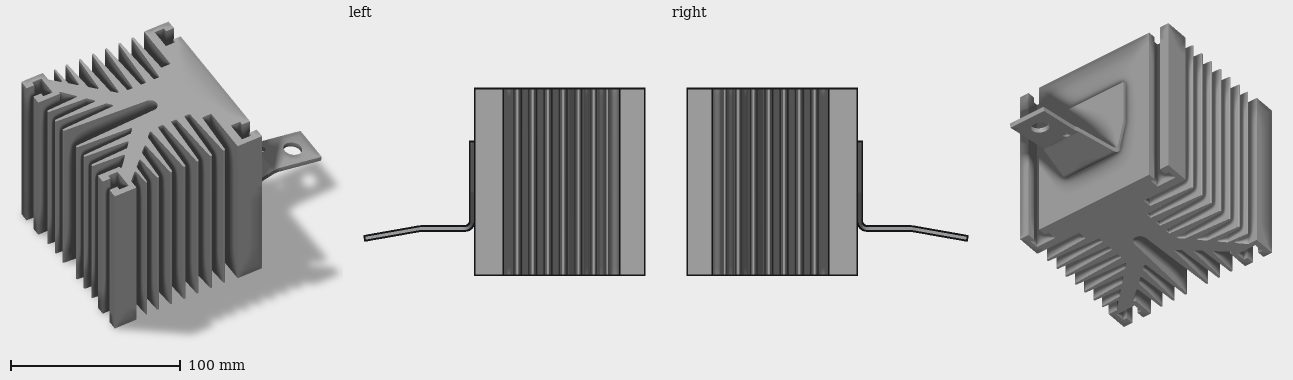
import cadquery as cq
import math

SINK_WIDTH = 110.0
SINK_DEPTH = 100.1
SINK_HEIGHT = 110.0
HALF_WIDTH = SINK_WIDTH / 2

FLANGE_THICKNESS = 16.7
FOOT_DEPTH = 14.7
FOOT_INNER_X = 35.0
T_SLOT_WALL = 3.6
T_SLOT_WIDTH = 13.2
T_SLOT_MOUTH = 8.0
T_SLOT_LIP = 5.3
T_SLOT_DEPTH = 11.5
T_SLOT_X = HALF_WIDTH - T_SLOT_WALL - T_SLOT_WIDTH / 2

NECK_HALF_WIDTH = 24.0
CORE_HALF_WIDTH = 17.7
ARM_BACK_SUM = 63.5
ARM_FRONT_X = 36.2
ARM_FRONT_Y = 15.7
ARM_FRONT_SLOPE = 0.86

FIN_DRAFT = 3.0
FIN_TIP_HALF = 0.75
FIN_ROOT_OVERLAP = 3.0
SIDE_FIN_TIP_X = 54.2
SIDE_FIN_FIRST_Y = 75.0
SIDE_FIN_LAST_Y = 30.0
SIDE_FIN_COUNT = 6
FIN_PITCH = (SIDE_FIN_FIRST_Y - SIDE_FIN_LAST_Y) / (SIDE_FIN_COUNT - 1)
THIN_FIN_Y = 22.1
THIN_FIN_TIP_HALF = 0.5
FRONT_FIN_TIP_Y = 1.0
FRONT_FIN_FIRST_X = 8.0
FRONT_FIN_COUNT = 3
ROOT_FILLET = 0.7

SLOT_END_Y = 60.1

STRIP_THICKNESS = 3.0
PLATE_WIDTH = 48.0
PLATE_TOP_Z = 78.8
TAPER_START_Z = 48.9
BEND_START_Z = 32.0
BEND_RADIUS = 3.0
BEND_START_WIDTH = 40.1
BEND_END_WIDTH = 37.2
TILT_START_Y = 131.7
TILT_START_WIDTH = 26.6
TILT_ANGLE = 10.0
TAPER_END_Y = 135.5
TAB_WIDTH = 25.0
TAB_END_Y = 165.2
BIG_HOLE_DIAMETER = 11.0
BIG_HOLE_Y = 152.5
SMALL_HOLE_DIAMETER = 4.5
SMALL_HOLE_X = -6.1
SMALL_HOLE_Y = 135.0


def box(x_min, x_max, y_min, y_max):
    """Full-height block over a rectangle in X and Y."""
    size = (x_max - x_min, y_max - y_min, SINK_HEIGHT)
    return cq.Workplane("XY").box(*size, centered=False).translate((x_min, y_min, 0))


def with_mirror(half):
    """A right-hand shape joined to its mirror image across X = 0."""
    return half.union(half.mirror("YZ"))


def t_slot(face_y, inward):
    """T-slot opening at face_y; inward is the Y direction (+1 or -1) into the metal."""
    lip_y = face_y + inward * T_SLOT_LIP
    bottom_y = face_y + inward * T_SLOT_DEPTH
    mouth = box(T_SLOT_X - T_SLOT_MOUTH / 2, T_SLOT_X + T_SLOT_MOUTH / 2, *sorted((face_y, bottom_y)))
    head = box(T_SLOT_X - T_SLOT_WIDTH / 2, T_SLOT_X + T_SLOT_WIDTH / 2, *sorted((lip_y, bottom_y)))
    return mouth.union(head)


def fin(length, tip_half):
    """Round-tipped fin along +X whose tip touches the origin and whose root is at X = -length."""
    shoulder_x = -tip_half
    root_half = tip_half + (length - tip_half) * math.tan(math.radians(FIN_DRAFT))
    return (
        cq.Workplane("XY")
        .moveTo(-length, -root_half)
        .lineTo(shoulder_x, -tip_half)
        .threePointArc((0, 0), (shoulder_x, tip_half))
        .lineTo(-length, root_half)
        .close()
        .extrude(SINK_HEIGHT)
    )


def side_fin(y, tip_half):
    """Fin toward +X, rooted in the core or, farther forward, in the arm."""
    root_x = max(CORE_HALF_WIDTH, ARM_BACK_SUM - y) - FIN_ROOT_OVERLAP
    return fin(SIDE_FIN_TIP_X - root_x, tip_half).translate((SIDE_FIN_TIP_X, y, 0))


def arm_front_y(x):
    """Y of the front side of an arm at a given X."""
    return ARM_FRONT_Y + (ARM_FRONT_X - x) * ARM_FRONT_SLOPE


def front_fin(x):
    """Fin toward -Y, rooted in the arm."""
    root_y = arm_front_y(x) + FIN_ROOT_OVERLAP
    forward_fin = fin(root_y - FRONT_FIN_TIP_Y, FIN_TIP_HALF).rotate((0, 0, 0), (0, 0, 1), -90)
    return forward_fin.translate((x, FRONT_FIN_TIP_Y, 0))


def core_and_arm():
    """Right half of the core with its neck, and the arm down to the foot."""
    outline = [
        (0, SINK_DEPTH - FLANGE_THICKNESS),
        (NECK_HALF_WIDTH, SINK_DEPTH - FLANGE_THICKNESS),
        (NECK_HALF_WIDTH, SIDE_FIN_FIRST_Y),
        (CORE_HALF_WIDTH, SIDE_FIN_FIRST_Y),
        (CORE_HALF_WIDTH, ARM_BACK_SUM - CORE_HALF_WIDTH),
        (ARM_BACK_SUM - FOOT_DEPTH, FOOT_DEPTH),
        (ARM_FRONT_X, FOOT_DEPTH),
        (ARM_FRONT_X, ARM_FRONT_Y),
        (0, arm_front_y(0)),
    ]
    return cq.Workplane("XY").polyline(outline).close().extrude(SINK_HEIGHT)


def middle_slot():
    """Slot that widens toward the front, in line with the innermost fins, with a round end."""
    draft = math.radians(FIN_DRAFT)
    shoulder_y = FRONT_FIN_TIP_Y + FIN_TIP_HALF
    shoulder_x = FRONT_FIN_FIRST_X - FIN_TIP_HALF
    reach = SLOT_END_Y - shoulder_y
    radius = (shoulder_x * math.cos(draft) - reach * math.sin(draft)) / (1 - math.sin(draft))
    centre_y = SLOT_END_Y - radius
    touch_x = radius * math.cos(draft)
    touch_y = centre_y + radius * math.sin(draft)
    return (
        cq.Workplane("XY")
        .moveTo(-shoulder_x, shoulder_y)
        .lineTo(-touch_x, touch_y)
        .threePointArc((0, SLOT_END_Y), (touch_x, touch_y))
        .lineTo(shoulder_x, shoulder_y)
        .close()
        .extrude(SINK_HEIGHT)
    )


def make_heat_sink():
    flange = box(0, HALF_WIDTH, SINK_DEPTH - FLANGE_THICKNESS, SINK_DEPTH)
    flange = flange.cut(t_slot(SINK_DEPTH, -1))
    foot = box(FOOT_INNER_X, HALF_WIDTH, 0, FOOT_DEPTH).cut(t_slot(0, 1))
    half = core_and_arm().union(flange).union(foot)
    for i in range(SIDE_FIN_COUNT):
        half = half.union(side_fin(SIDE_FIN_FIRST_Y - i * FIN_PITCH, FIN_TIP_HALF))
    half = half.union(side_fin(THIN_FIN_Y, THIN_FIN_TIP_HALF))
    for i in range(FRONT_FIN_COUNT):
        half = half.union(front_fin(FRONT_FIN_FIRST_X + i * FIN_PITCH))
    fin_roots = cq.selectors.BoxSelector(
        (FRONT_FIN_FIRST_X, ARM_FRONT_Y + ROOT_FILLET, 0),
        (ARM_BACK_SUM - FOOT_DEPTH, SINK_DEPTH - FLANGE_THICKNESS - ROOT_FILLET, SINK_HEIGHT),
    )
    half = half.edges("|Z").edges(fin_roots).fillet(ROOT_FILLET)
    return with_mirror(half).cut(middle_slot())


class StripPoint:
    """Place along the middle of the strip; heading is 0 degrees down and 90 degrees toward +Y."""

    def __init__(self, y, z, heading, width):
        self.y = y
        self.z = z
        self.heading = math.radians(heading)
        self.width = width

    def position(self):
        return cq.Vector(0, self.y, self.z)

    def direction(self):
        return cq.Vector(0, math.sin(self.heading), -math.cos(self.heading))

    def section(self):
        plane = cq.Plane(self.position(), xDir=(1, 0, 0), normal=self.direction())
        return cq.Workplane(plane).rect(self.width, STRIP_THICKNESS).wires().val()


def strip_piece(start, end):
    """Straight or bent stretch of strip between two points, changing evenly in width."""
    if start.heading == end.heading:
        path = cq.Edge.makeLine(start.position(), end.position())
    else:
        path = cq.Edge.makeTangentArc(start.position(), start.direction(), end.position())
    return cq.Workplane(cq.Solid.sweep_multi([start.section(), end.section()], path))


def make_terminal():
    half_thickness = STRIP_THICKNESS / 2
    tilt = math.radians(TILT_ANGLE)
    tab_heading = 90 - TILT_ANGLE

    plate_y = SINK_DEPTH + half_thickness
    bend_middle = BEND_RADIUS + half_thickness
    arm_z = BEND_START_Z - bend_middle
    tab_start_y = TILT_START_Y + bend_middle * math.sin(tilt)
    tab_start_z = arm_z - bend_middle * (1 - math.cos(tilt))
    taper_left = (TAPER_END_Y - tab_start_y) / (TAPER_END_Y - TILT_START_Y)
    tab_start_width = TAB_WIDTH + (TILT_START_WIDTH - TAB_WIDTH) * taper_left
    tab_end_y = TAB_END_Y - half_thickness * math.sin(tilt)

    def tab_z(y):
        return tab_start_z - (y - tab_start_y) * math.tan(tilt)

    points = [
        StripPoint(plate_y, PLATE_TOP_Z, 0, PLATE_WIDTH),
        StripPoint(plate_y, TAPER_START_Z, 0, PLATE_WIDTH),
        StripPoint(plate_y, BEND_START_Z, 0, BEND_START_WIDTH),
        StripPoint(plate_y + bend_middle, arm_z, 90, BEND_END_WIDTH),
        StripPoint(TILT_START_Y, arm_z, 90, TILT_START_WIDTH),
        StripPoint(tab_start_y, tab_start_z, tab_heading, tab_start_width),
        StripPoint(TAPER_END_Y, tab_z(TAPER_END_Y), tab_heading, TAB_WIDTH),
        StripPoint(tab_end_y, tab_z(tab_end_y), tab_heading, TAB_WIDTH),
    ]
    strip = strip_piece(points[0], points[1])
    for start, end in zip(points[1:], points[2:]):
        strip = strip.union(strip_piece(start, end))

    def tab_hole(x, y, diameter):
        """Drill, square to the tilted tab."""
        plane = cq.Plane((x, y, tab_z(y)), xDir=(1, 0, 0), normal=(0, math.sin(tilt), math.cos(tilt)))
        return cq.Workplane(plane).circle(diameter / 2).extrude(STRIP_THICKNESS, both=True)

    strip = strip.cut(tab_hole(0, BIG_HOLE_Y, BIG_HOLE_DIAMETER))
    return strip.cut(tab_hole(SMALL_HOLE_X, SMALL_HOLE_Y, SMALL_HOLE_DIAMETER))


heat_sink = make_heat_sink()
terminal = make_terminal()
result = cq.Compound.makeCompound([heat_sink.val(), terminal.solids().val()])